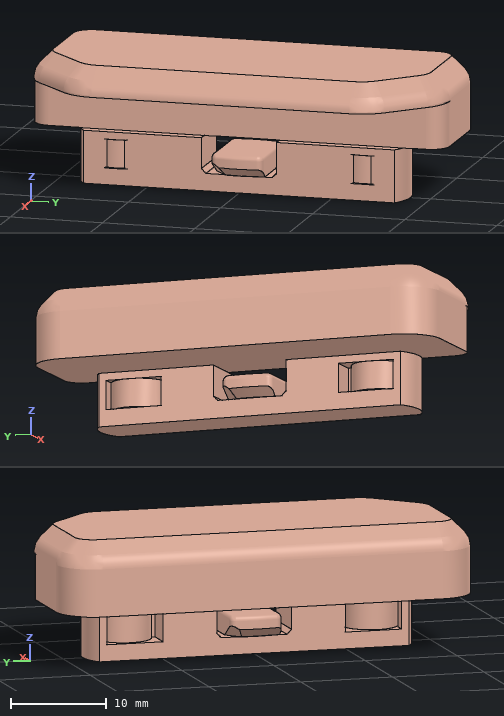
import cadquery as cq
import math

bar_height = 5.7
cap_gap = 0.4
total_height = 13.97
cap_bottom = bar_height + cap_gap
cap_height = total_height - cap_bottom

cap_length = 45.0
cap_width = 20.0
cap_plate_thickness = 3.0
cap_base_width = 13.5
cap_left_radius = 4.0
cap_base_right_radius = 2.0
cap_corner_cut = cap_width - cap_base_width
cap_cut_angle = math.radians(45)
cap_cut_radius = cap_base_right_radius / math.tan(cap_cut_angle / 2)
cap_edge_chamfer = 2.0
cap_edge_radius = 2.0

pick_margin = 0.1

bar_width = 5.85
bar_length = 35.65
bar_end_bulge = 0.95
bar_tip_flat = 0.12
notch_length = 8.15
notch_floor = 1.9
notch_chamfer = 0.5

magnet_diameter = 6.0
magnet_height = 3.0
magnet_spacing = 26.92
seat_diameter = 6.15
seat_spacing = magnet_spacing - (seat_diameter - magnet_diameter)
entry_width = seat_diameter
entry_spacing = 26.0
pocket_height = 3.1
pocket_roof = 0.8
pocket_top = bar_height - pocket_roof
pocket_bottom = pocket_top - pocket_height

latch_span = 8.3
latch_width = 5.6
latch_height = 2.45
latch_end_bulge = 0.35
latch_corner_radius = 0.7
latch_top_radius = 0.6
latch_end_bevel = 0.95
latch_corner_bevel_angle = 50
latch_corner_bevel_start = 3.08


def make_cap():
    """Plate with cut corners and a softened rim, standing on a narrower base."""
    left = -cap_width / 2
    right = cap_width / 2
    end = cap_length / 2
    base_right = left + cap_base_width
    plate_bottom = total_height - cap_plate_thickness

    plate = (
        cq.Workplane("XY", origin=(0, 0, plate_bottom))
        .moveTo(left, -end)
        .lineTo(base_right, -end)
        .lineTo(right, -end + cap_corner_cut)
        .lineTo(right, end - cap_corner_cut)
        .lineTo(base_right, end)
        .lineTo(left, end)
        .close()
        .extrude(cap_plate_thickness)
        .edges("|Z and <X").fillet(cap_left_radius)
    )
    cut_corners = cq.selectors.BoxSelector(
        (base_right - pick_margin, -end - pick_margin, plate_bottom),
        (right + pick_margin, end + pick_margin, total_height),
    )
    plate = plate.edges(cut_corners).edges("|Z").fillet(cap_cut_radius)

    plate = plate.faces(">Z").chamfer(cap_edge_chamfer)
    rim_height = total_height - cap_edge_chamfer
    rim = cq.selectors.BoxSelector(
        (left - pick_margin, -end - pick_margin, rim_height - pick_margin),
        (right + pick_margin, end + pick_margin, rim_height + pick_margin),
    )
    plate = plate.edges(rim).fillet(cap_edge_radius)

    base = (
        cq.Workplane("XY", origin=(left + cap_base_width / 2, 0, cap_bottom))
        .rect(cap_base_width, cap_length)
        .extrude(cap_height - cap_plate_thickness)
        .edges("|Z and <X").fillet(cap_left_radius)
        .edges("|Z and >X").fillet(cap_base_right_radius)
    )
    return plate.union(base)


def make_magnet(side):
    """Disc magnet, held against the roof of its pocket."""
    return (
        cq.Workplane("XY", origin=(0, side * magnet_spacing / 2, pocket_top - magnet_height))
        .circle(magnet_diameter / 2)
        .extrude(magnet_height)
    )


def make_pocket(side):
    """Round seat whose outer wall touches the magnet, with a straight entry from the -X side.

    The entry is set nearer to the bar's middle than the seat.
    """
    seat = (
        cq.Workplane("XY", origin=(0, side * seat_spacing / 2, pocket_bottom))
        .circle(seat_diameter / 2)
        .extrude(pocket_height)
    )
    entry_depth = bar_width / 2
    entry = (
        cq.Workplane("XY", origin=(-entry_depth / 2, side * entry_spacing / 2, pocket_bottom))
        .rect(entry_depth, entry_width)
        .extrude(pocket_height)
    )
    return seat.union(entry)


def make_bar():
    """Bar with bulged ends, a notch across its middle and two magnet pockets."""
    tip = bar_length / 2
    bar = (
        cq.Workplane("XY")
        .moveTo(0, tip)
        .lineTo(bar_tip_flat / 2, tip)
        .tangentArcPoint((bar_width / 2, tip - bar_end_bulge), relative=False)
        .lineTo(bar_width / 2, 0)
        .mirrorX()
        .mirrorY()
        .extrude(bar_height)
    )
    notch = (
        cq.Workplane("XY", origin=(0, 0, notch_floor))
        .rect(bar_width, notch_length)
        .extrude(bar_height - notch_floor)
        .edges("|X and <Z").chamfer(notch_chamfer)
    )
    bar = bar.cut(notch)
    for side in (-1, 1):
        bar = bar.cut(make_pocket(side))
    return bar


def latch_blank():
    """Upright prism with straight sides and outward-curved ends, standing on the notch floor."""
    tip = latch_span / 2
    shoulder = tip - latch_end_bulge
    half_width = latch_width / 2
    return (
        cq.Workplane("XY", origin=(0, 0, notch_floor))
        .moveTo(-shoulder, -half_width)
        .lineTo(shoulder, -half_width)
        .threePointArc((tip, 0), (shoulder, half_width))
        .lineTo(-shoulder, half_width)
        .threePointArc((-tip, 0), (-shoulder, -half_width))
        .close()
        .extrude(latch_height)
    )


def make_latch():
    """Cross piece lying in the notch, rounded on top and bevelled underneath.

    Both ends are bevelled, and so are two diagonally opposite corners.
    """
    rounded = (
        latch_blank()
        .edges("|Z").fillet(latch_corner_radius)
        .faces(">Z").edges().fillet(latch_top_radius)
    )
    bevelled = latch_blank().faces("<Z").edges("<X or >X").chamfer(latch_end_bevel)
    latch = rounded.intersect(bevelled)

    corner_bevel = (
        cq.Workplane("XZ", origin=(0, latch_span / 2, notch_floor))
        .moveTo(latch_corner_bevel_start, 0)
        .lineTo(latch_corner_bevel_start + latch_height, 0)
        .lineTo(latch_corner_bevel_start + latch_height, latch_height)
        .close()
        .extrude(latch_span)
    )
    for half_turn in (0, 180):
        angle = half_turn - latch_corner_bevel_angle
        latch = latch.cut(corner_bevel.rotate((0, 0, 0), (0, 0, 1), angle))
    return latch


cap = make_cap()
bar = make_bar()
magnets = [make_magnet(side) for side in (-1, 1)]
latch = make_latch()

result = cq.Compound.makeCompound(
    [cap.val(), bar.val(), *[magnet.val() for magnet in magnets], latch.val()]
)